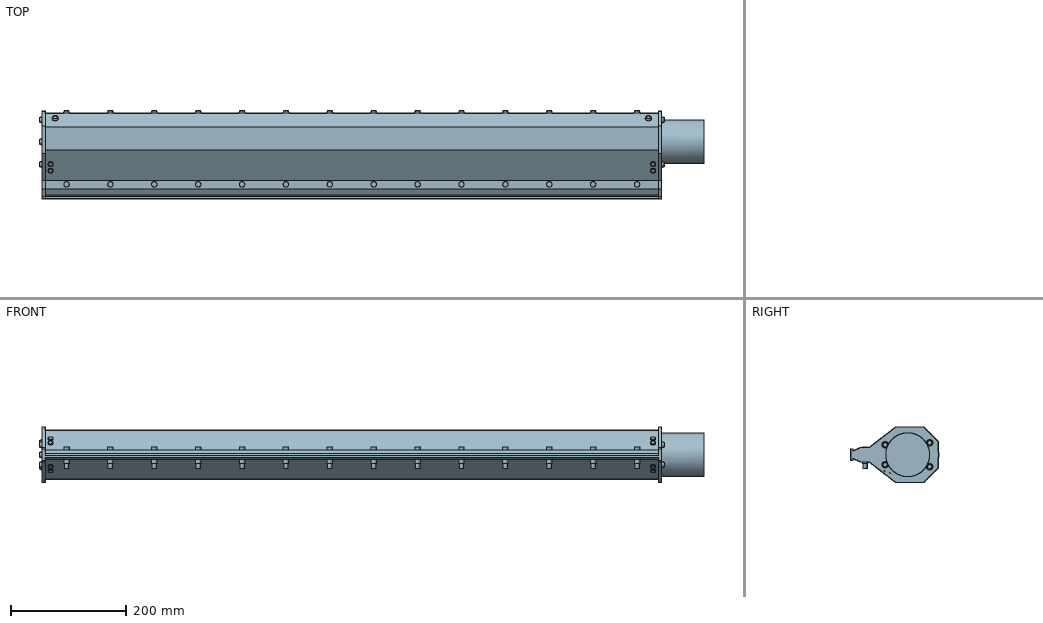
import cadquery as cq

total_length = 1155.0
end_head_height = 5.0
housing_length = 1076.0
plate_thickness = 6.0
plate_left = end_head_height
plate_right = plate_left + housing_length
mid_x = (plate_left + plate_right) / 2

tube_diameter = 76.0

body_half_height = 43.0
body_back_y = 50.0
body_back_half_height = 20.0
body_top_back_y = 25.0
body_top_front_y = -14.0

plate_half_height = 48.0
plate_back_y = 53.0
plate_back_half_height = 23.0
plate_top_back_y = 28.0
plate_top_front_y = -21.0

lip_back_y = -67.0
lip_front_y = -82.0
lip_half_thickness = 8.0
plate_lip_half_thickness = 13.0
nose_front_y = -99.0
taper_end_y = -92.0
taper_end_z = 1.7
nose_back_y = -95.0
nose_top_z = -1.0
nose_bottom_z = -5.0
tip_half_height = 10.0
tip_back_y = -95.0
tip_web_half_height = 7.0

head_base_diameter = 11.0
head_top_diameter = 7.6
row_count = 14
row_pitch = 76.0
clamp_head_height = 6.0
back_row_head_height = 5.0
clamp_y = -74.0
clamp_head_diameter = 9.5
clamp_shank_diameter = 7.6
clamp_shank_bottom_z = -24.0
clamp_nut_bottom_z = -15.0
end_back_screw = (38.0, 21.0)
end_front_screw = (-39.0, 17.0)
slope_screw_inset = 15.0
slope_screw_ys = (-38.0, -50.0)
slope_screw_diameter = 8.5
slope_screw_height = 2.0
back_screw_inset = 23.0
back_screw_y = 40.0
back_slope_head_height = 3.0
embed = 6.0


def cylinder(point, direction, diameter, height):
    """Cylinder standing `height` above a surface point and sunk slightly below it."""
    axis = cq.Vector(*direction).normalized()
    base = cq.Vector(*point) - axis * embed
    return cq.Workplane(obj=cq.Solid.makeCylinder(diameter / 2, height + embed, base, axis))


def screw_head(point, direction, height):
    """Tapered screw head standing on a surface point, with a short shank below."""
    cone = cq.Solid.makeCone(
        head_base_diameter / 2, head_top_diameter / 2, height, cq.Vector(*point), cq.Vector(*direction)
    )
    return cylinder(point, direction, head_top_diameter, height).union(cq.Workplane(obj=cone))


def make_housing():
    """Housing bar whose tapered lip steps down to a thin front edge."""
    outline = (
        cq.Workplane("YZ")
        .workplane(offset=plate_left)
        .moveTo(body_back_y, body_back_half_height)
        .lineTo(body_top_back_y, body_half_height)
        .lineTo(body_top_front_y, body_half_height)
        .lineTo(lip_back_y, lip_half_thickness)
        .lineTo(lip_front_y, lip_half_thickness)
        .lineTo(taper_end_y, taper_end_z)
        .lineTo(nose_back_y, nose_top_z)
        .lineTo(nose_front_y, nose_top_z)
        .lineTo(nose_front_y, nose_bottom_z)
        .lineTo(nose_back_y, nose_bottom_z)
        .lineTo(lip_front_y, -lip_half_thickness)
        .lineTo(lip_back_y, -lip_half_thickness)
        .lineTo(body_top_front_y, -body_half_height)
        .lineTo(body_top_back_y, -body_half_height)
        .lineTo(body_back_y, -body_back_half_height)
        .close()
    )
    return outline.extrude(housing_length)


def make_end_plate(x_start):
    """Plate symmetric in z, with a small flange across its front tip."""
    upper = [
        (plate_back_y, plate_back_half_height),
        (plate_top_back_y, plate_half_height),
        (plate_top_front_y, plate_half_height),
        (lip_back_y, plate_lip_half_thickness),
        (lip_front_y, plate_lip_half_thickness),
        (tip_back_y, tip_web_half_height),
        (tip_back_y, tip_half_height),
        (nose_front_y, tip_half_height),
    ]
    lower = [(y, -z) for y, z in reversed(upper)]
    outline = cq.Workplane("YZ").workplane(offset=x_start).polyline(upper + lower).close()
    return outline.extrude(plate_thickness)


def make_tube():
    return cylinder((plate_right, 0, 0), (1, 0, 0), tube_diameter, total_length - plate_right)


def make_row_fasteners():
    """Clamping bolts through the lip and screw heads along the back face."""
    fasteners = []
    for i in range(row_count):
        x = mid_x + (i - (row_count - 1) / 2) * row_pitch
        lip_top = (x, clamp_y, lip_half_thickness)
        lip_bottom = (x, clamp_y, -lip_half_thickness)
        nut_height = -lip_half_thickness - clamp_nut_bottom_z
        shank_height = -lip_half_thickness - clamp_shank_bottom_z
        fasteners.append(cylinder(lip_top, (0, 0, 1), clamp_head_diameter, clamp_head_height))
        fasteners.append(cylinder(lip_bottom, (0, 0, -1), clamp_head_diameter, nut_height))
        fasteners.append(cylinder(lip_bottom, (0, 0, -1), clamp_shank_diameter, shank_height))
        fasteners.append(screw_head((x, body_back_y, 0), (0, 1, 0), back_row_head_height))
    return fasteners


def make_end_screws():
    """Screw heads on the outer faces of the end plates."""
    fasteners = [screw_head((plate_left, 0, 0), (-1, 0, 0), end_head_height)]
    for y, z in (end_back_screw, end_front_screw):
        for side in (1, -1):
            fasteners.append(screw_head((plate_left, y, side * z), (-1, 0, 0), end_head_height))
            fasteners.append(screw_head((plate_right, y, side * z), (1, 0, 0), end_head_height))
    return fasteners


def make_sloped_screws():
    """Screw heads near both ends, square to the sloped front and back faces."""
    slope = (body_half_height - lip_half_thickness) / (body_top_front_y - lip_back_y)
    back_slope = (body_half_height - body_back_half_height) / (body_top_back_y - body_back_y)
    fasteners = []
    for end in (1, -1):
        front_x = mid_x + end * (housing_length / 2 - slope_screw_inset)
        back_x = mid_x + end * (housing_length / 2 - back_screw_inset)
        for side in (1, -1):
            for y in slope_screw_ys:
                z = lip_half_thickness + slope * (y - lip_back_y)
                normal = (0, -slope, side)
                seat = (front_x, y, side * z)
                fasteners.append(cylinder(seat, normal, slope_screw_diameter, slope_screw_height))
            z = body_back_half_height + back_slope * (back_screw_y - body_back_y)
            normal = (0, -back_slope, side)
            fasteners.append(screw_head((back_x, back_screw_y, side * z), normal, back_slope_head_height))
    return fasteners


result = make_housing()
result = result.union(make_end_plate(plate_left))
result = result.union(make_end_plate(plate_right - plate_thickness))
result = result.union(make_tube())
for fastener in make_row_fasteners() + make_end_screws() + make_sloped_screws():
    result = result.union(fastener)